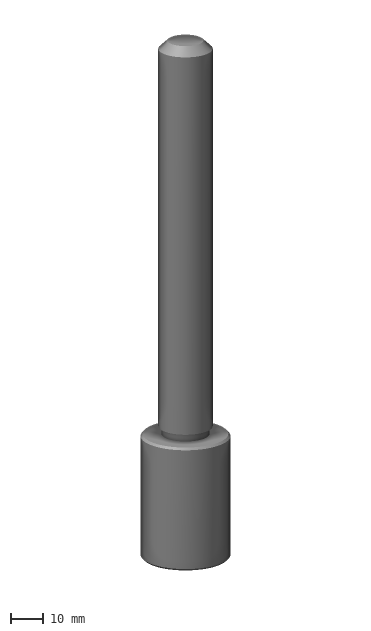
import cadquery as cq

total_height = 170.0
head_diameter = 28.0
head_height = 40.5
head_chamfer = 0.7
neck_diameter = 15.0
neck_height = 2.5
shank_diameter = 17.0
tip_diameter = 11.2
tip_height = 2.7

head = cq.Workplane("XY").circle(head_diameter / 2).extrude(head_height).edges().chamfer(head_chamfer)

neck = cq.Workplane("XY").workplane(offset=head_height).circle(neck_diameter / 2).extrude(neck_height)

shank_start = head_height + neck_height
tip_inset = (shank_diameter - tip_diameter) / 2
shank = (
    cq.Workplane("XY")
    .workplane(offset=shank_start)
    .circle(shank_diameter / 2)
    .extrude(total_height - shank_start)
    .faces(">Z")
    .edges()
    .chamfer(tip_height, tip_inset)
)

result = head.union(neck).union(shank)